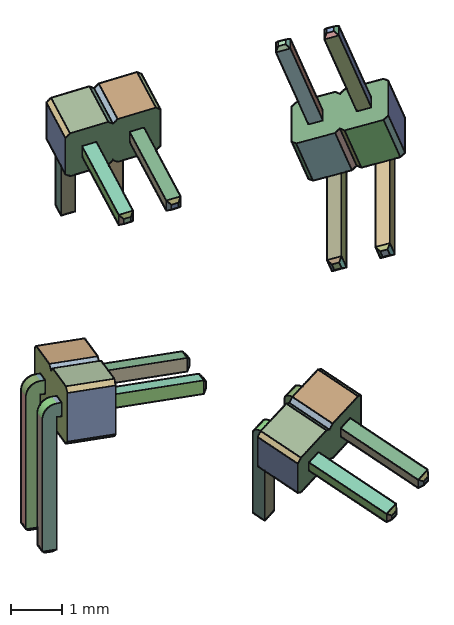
import cadquery as cq

length = 3.4
width = 2.0
height = 3.77

pin_count = 2
pitch = width / pin_count
body_length = 1.0
body_height = 1.265
body_chamfer = 0.098
body_offset = 0.4

pin_size = 0.3
tip_length = 0.075
tip_inset = 0.075

pin_top = pin_size / 2
leg_bottom = body_height / 2 - height


def make_block(y_center):
    """One octagonal housing block, extruded along X."""
    return (
        cq.Workplane("XY")
        .box(body_length, pitch, body_height)
        .edges("|X")
        .chamfer(body_chamfer)
        .translate((body_offset + body_length / 2, y_center, 0))
    )


def make_tip(plane):
    """Four-sided tapered pin end, starting on the given plane."""
    end_size = pin_size - 2 * tip_inset
    return (
        cq.Workplane(plane)
        .rect(pin_size, pin_size)
        .workplane(offset=tip_length)
        .rect(end_size, end_size)
        .loft(ruled=True)
    )


def make_pin(y_center):
    """Right-angle pin with a rounded outer bend, a sharp inner corner and tapered ends."""
    arm_end = length - tip_length
    leg_end = leg_bottom + tip_length
    shaft = (
        cq.Workplane("XZ")
        .moveTo(0, leg_end)
        .lineTo(0, pin_top - pin_size)
        .radiusArc((pin_size, pin_top), pin_size)
        .lineTo(arm_end, pin_top)
        .lineTo(arm_end, pin_top - pin_size)
        .lineTo(pin_size, pin_top - pin_size)
        .lineTo(pin_size, leg_end)
        .close()
        .extrude(pin_size / 2, both=True)
    )
    arm_tip = make_tip(cq.Plane(origin=(arm_end, 0, 0), xDir=(0, 1, 0), normal=(1, 0, 0)))
    leg_tip = make_tip(cq.Plane(origin=(pin_size / 2, 0, leg_end), xDir=(1, 0, 0), normal=(0, 0, -1)))
    return shaft.union(arm_tip).union(leg_tip).translate((0, y_center, 0))


result = cq.Workplane("XY")
for index in range(pin_count):
    y_position = (index - (pin_count - 1) / 2) * pitch
    result = result.union(make_block(y_position)).union(make_pin(y_position))
result = result.clean()